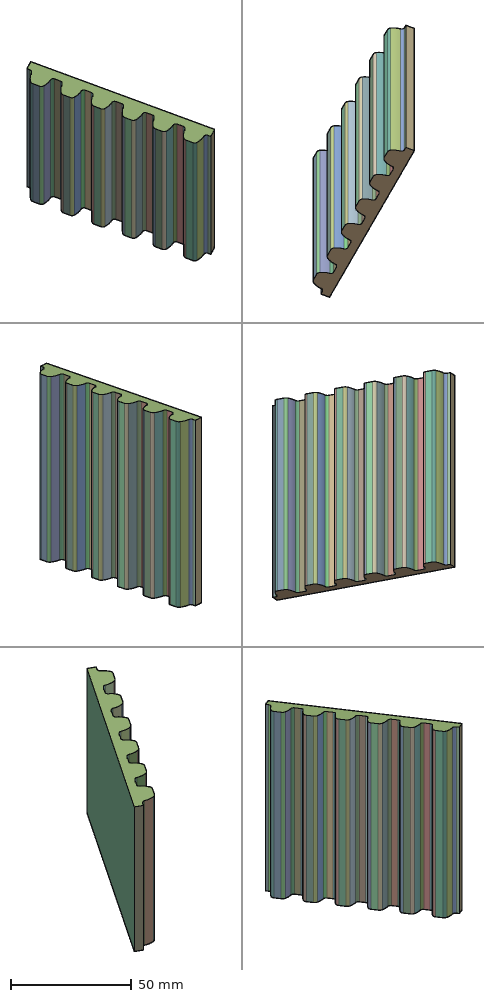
import cadquery as cq
import math

belt_width = 85.0
segment_length = 84.0
tooth_count = 6
backing_thickness = 4.0
tooth_height = 5.95

tip_flat_half = 1.5
tip_radius = 1.8
tip_arc_turn = 59.0
root_flat_half = 1.4
root_radius = 1.3
root_arc_turn = 83.0

pitch = segment_length / tooth_count
back_y = backing_thickness + tooth_height


def point_on_arc(center, radius, degrees):
    angle = math.radians(degrees)
    return (center[0] + radius * math.cos(angle), center[1] + radius * math.sin(angle))


def half_tooth():
    """Right half of one pitch: tooth tip at Y = 0, tooth centreline at X = 0."""
    tip_center = (tip_flat_half, tip_radius)
    tip_end = point_on_arc(tip_center, tip_radius, tip_arc_turn - 90)
    root_flat_start = (pitch / 2 - root_flat_half, tooth_height)
    root_center = (root_flat_start[0], tooth_height - root_radius)
    root_start = point_on_arc(root_center, root_radius, 90 + root_arc_turn)
    root_middle = point_on_arc(root_center, root_radius, 90 + root_arc_turn / 2)
    return (
        cq.Workplane("XY")
        .lineTo(tip_flat_half, 0)
        .tangentArcPoint(tip_end, relative=False)
        .tangentArcPoint(root_start, relative=False)
        .threePointArc(root_middle, root_flat_start)
        .lineTo(pitch / 2, tooth_height)
        .lineTo(pitch / 2, back_y)
        .lineTo(0, back_y)
        .close()
        .extrude(belt_width)
    )


right_half = half_tooth()
tooth = right_half.union(right_half.mirror("YZ"))

result = cq.Workplane("XY")
for index in range(tooth_count):
    offset = (index - (tooth_count - 1) / 2) * pitch
    result = result.union(tooth.translate((offset, 0, 0)))
result = result.clean()